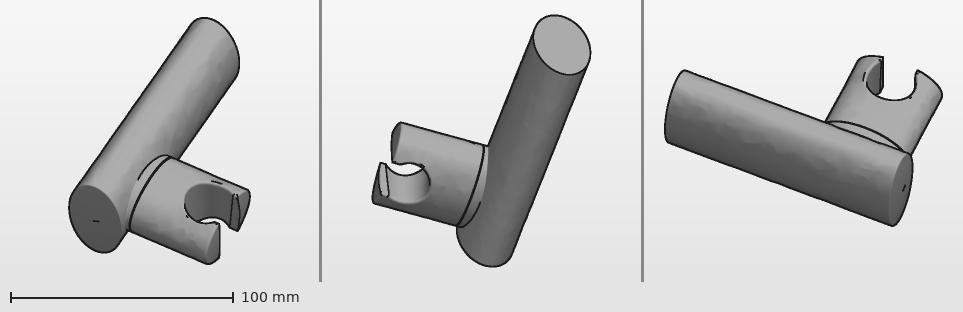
import cadquery as cq
import math

LENGTH = 111.0
BAR_HALF_X = 13.5
BAR_HALF_Z = 23.0
BAR_DOME_SAG = 1.1
BAR_BAND = 1.3
BAR_ROUND = 0.4
BAR_CAP = BAR_BAND + BAR_ROUND + BAR_DOME_SAG

ARM_FROM_FRONT = 25.7
ARM_HALF_Y = 21.0
ARM_HALF_Z = 14.0
JOINT_X = 15.8
JOINT_CHAMFER = 0.3
COLLAR_FILLET = 0.3
TIP_X = 55.6
TIP_DOME_SAG = 0.9
TIP_ROUND = 1.1
TIP_CAP = TIP_DOME_SAG + TIP_ROUND

CRADLE_X = 45.0
CRADLE_MID_RADIUS = 10.7
CRADLE_TAPER = 2.4
CRADLE_ROUND = 1.1
SLOT_WIDTH = 16.6
MOUTH_ROUND = 1.3
CUT_MARGIN = 1.1

BAR_FRONT_Y = -LENGTH / 2
ARM_Y = BAR_FRONT_Y + ARM_FROM_FRONT


def stretch_z(body, factor):
    """Scale a body along Z only, turning its round section into an ellipse."""
    matrix = cq.Matrix([[1, 0, 0, 0], [0, 1, 0, 0], [0, 0, factor, 0]])
    return cq.Workplane(body.val().transformGeometry(matrix))


def domed_cap(radius, dome_sag, corner_round, band=0.0):
    """Round cap along +X from the origin: a straight band if any, a rounded corner, then a dome."""
    rim_x = band + corner_round
    rim_radius = radius - corner_round
    round_offset = corner_round * (1 - math.sqrt(0.5))
    tip_x = rim_x + dome_sag
    dome_radius = (rim_radius**2 + dome_sag**2) / (2 * dome_sag)
    middle_radius = rim_radius / 2
    middle_x = tip_x - dome_radius + math.sqrt(dome_radius**2 - middle_radius**2)
    profile = cq.Workplane("XY").lineTo(0, radius)
    if band > 0:
        profile = profile.lineTo(band, radius)
    return (
        profile.threePointArc((rim_x - round_offset, radius - round_offset), (rim_x, rim_radius))
        .threePointArc((middle_x, middle_radius), (tip_x, 0))
        .close()
        .revolve(360, (0, 0, 0), (1, 0, 0))
    )


def make_bar():
    rod = (
        cq.Workplane("XZ")
        .workplane(offset=-LENGTH / 2)
        .ellipse(BAR_HALF_X, BAR_HALF_Z)
        .extrude(LENGTH - BAR_CAP)
    )
    cap = domed_cap(BAR_HALF_X, BAR_DOME_SAG, BAR_ROUND, BAR_BAND)
    cap = cap.rotate((0, 0, 0), (0, 0, 1), -90).translate((0, BAR_FRONT_Y + BAR_CAP, 0))
    cap = stretch_z(cap, BAR_HALF_Z / BAR_HALF_X)
    collar = cq.Workplane("YZ").center(ARM_Y, 0).ellipse(ARM_HALF_Y, ARM_HALF_Z).extrude(JOINT_X)
    collar = collar.faces(">X").chamfer(JOINT_CHAMFER)
    root = cq.selectors.BoxSelector(
        (1.1, -LENGTH, -BAR_HALF_Z), (JOINT_X - 2 * JOINT_CHAMFER, LENGTH, BAR_HALF_Z), boundingbox=True
    )
    bar = rod.union(collar).edges(root).fillet(COLLAR_FILLET)
    return bar.union(cap).solids()


def arm_post(length):
    """Straight elliptical post starting at the joint."""
    return cq.Workplane("YZ").workplane(offset=JOINT_X).ellipse(ARM_HALF_Y, ARM_HALF_Z).extrude(length)


def cradle_cutter(slot_length):
    """Tapered bore with a straight slot leading out of it along +X."""
    half_height = ARM_HALF_Z + CUT_MARGIN
    growth = half_height * math.tan(math.radians(CRADLE_TAPER))
    bore = (
        cq.Workplane("XY")
        .workplane(offset=-half_height)
        .center(CRADLE_X, 0)
        .circle(CRADLE_MID_RADIUS - growth)
        .workplane(offset=2 * half_height)
        .circle(CRADLE_MID_RADIUS + growth)
        .loft()
    )
    slot = cq.Workplane("XY").box(slot_length, SLOT_WIDTH, 2 * half_height, centered=(False, True, True))
    return bore.union(slot.translate((CRADLE_X, 0, 0)))


def mouth_cutter():
    """Flare that rounds both lips of the slot as it meets the domed end."""
    half_height = ARM_HALF_Z + CUT_MARGIN
    half_width = SLOT_WIDTH / 2
    dome_drop = TIP_DOME_SAG * (half_width / ARM_HALF_Y) ** 2
    mouth_x = TIP_X - dome_drop
    start_x = mouth_x - MOUTH_ROUND
    flare_y = half_width + MOUTH_ROUND
    arc_x = start_x + MOUTH_ROUND * math.sqrt(0.5)
    arc_y = flare_y - MOUTH_ROUND * math.sqrt(0.5)
    return (
        cq.Workplane("XY")
        .workplane(offset=-half_height)
        .moveTo(start_x, -half_width)
        .threePointArc((arc_x, -arc_y), (mouth_x, -flare_y))
        .lineTo(mouth_x + CUT_MARGIN, -flare_y)
        .lineTo(mouth_x + CUT_MARGIN, flare_y)
        .lineTo(mouth_x, flare_y)
        .threePointArc((arc_x, arc_y), (start_x, half_width))
        .close()
        .extrude(2 * half_height)
    )


def make_holder():
    post_length = 2 * (CRADLE_X - JOINT_X)
    blank = arm_post(post_length).cut(cradle_cutter(post_length))
    reach = CRADLE_MID_RADIUS + CRADLE_ROUND
    back_x = CRADLE_X - reach
    front_x = CRADLE_X + post_length
    inner_z = ARM_HALF_Z / 2
    outer_z = ARM_HALF_Z + CUT_MARGIN
    top_rim = cq.selectors.BoxSelector((back_x, -reach, inner_z), (front_x, reach, outer_z), True)
    bottom_rim = cq.selectors.BoxSelector((back_x, -reach, -outer_z), (front_x, reach, -inner_z), True)
    blank = blank.edges(top_rim + bottom_rim).fillet(CRADLE_ROUND)

    cap = domed_cap(ARM_HALF_Y, TIP_DOME_SAG, TIP_ROUND).translate((TIP_X - TIP_CAP, 0, 0))
    cap = stretch_z(cap, ARM_HALF_Z / ARM_HALF_Y)
    envelope = arm_post(TIP_X - TIP_CAP - JOINT_X).union(cap)
    holder = blank.intersect(envelope).cut(mouth_cutter())
    return holder.solids().translate((0, ARM_Y, 0))


bar = make_bar()
holder = make_holder()
result = cq.Compound.makeCompound([bar.val(), holder.val()])